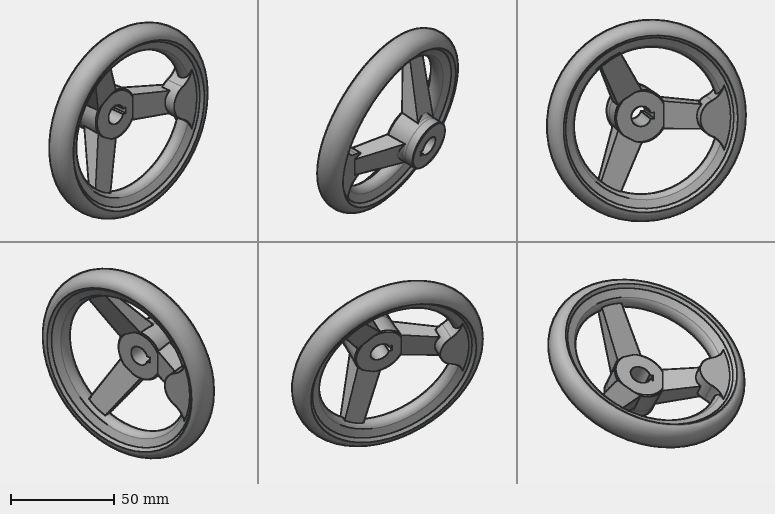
import cadquery as cq
import math

wheel_radius = 50.0
rim_front = 18.4
rim_back = 33.0
rim_middle = (rim_front + rim_back) / 2
rim_crown_height = 5.6
rim_inner_radius = 36.7
rim_side_lip = 0.4
rim_step_radius = 42.5
rim_step_x = 20.0
rim_crest_radius = 38.5
rim_crest_x = 22.0

hub_radius = 25.5 / 2
hub_collar_length = 4.9
hub_back_radius = 13.2
hub_back = 17.0
hub_front_chamfer = 0.3
hub_back_chamfer = 0.6
bore_radius = 5.0
keyway_width = 3.0
keyway_depth = 6.5

spoke_count = 3
spoke_slope = 0.61
spoke_root_radius = 8.0
spoke_end_radius = 39.0
handle_spoke_end_radius = 33.0
spoke_root_half_width = 7.0
spoke_end_half_width = 5.7
spoke_back_root_x = 15.3
spoke_back_end_x = 27.9
root_fillet_run = 1.9

boss_front = rim_step_x
boss_back = 30.7
boss_nose_center = 35.7
boss_nose_radius = 9.8
boss_nose_angle = math.radians(66)
boss_flare_half_width = 18.7


def spoke_front_x(radius):
    """X of the spoke front face, which meets the boss face at the handle spoke end."""
    return boss_front - spoke_slope * (handle_spoke_end_radius - radius)


def make_rim():
    """Revolved rim, mirror-symmetric about its middle plane."""
    def mirrored(x):
        return 2 * rim_middle - x

    edge_radius = wheel_radius - rim_crown_height
    profile = (
        cq.Workplane("XY")
        .moveTo(rim_middle, edge_radius)
        .ellipseArc(rim_back - rim_middle, rim_crown_height, 0, 180, startAtCurrent=False)
        .lineTo(rim_front, edge_radius - rim_side_lip)
        .lineTo(rim_step_x, rim_step_radius)
        .lineTo(rim_crest_x, rim_crest_radius)
        .threePointArc((rim_middle, rim_inner_radius), (mirrored(rim_crest_x), rim_crest_radius))
        .lineTo(mirrored(rim_step_x), rim_step_radius)
        .lineTo(rim_back, edge_radius - rim_side_lip)
        .close()
    )
    return profile.revolve(360, (0, 0, 0), (1, 0, 0))


def make_hub():
    """Straight front collar followed by a hub that widens toward the back."""
    outline = [
        (0, 0),
        (0, hub_radius - hub_front_chamfer),
        (hub_front_chamfer, hub_radius),
        (hub_collar_length, hub_radius),
        (hub_back - hub_back_chamfer, hub_back_radius),
        (hub_back, hub_back_radius - hub_back_chamfer),
        (hub_back, 0),
    ]
    return cq.Workplane("XY").polyline(outline).close().revolve(360, (0, 0, 0), (1, 0, 0))


def spoke_plan():
    """Tapered width along +Y, shared by every spoke whatever its length."""
    return cq.Workplane("YZ").polyline([
        (spoke_root_radius, -spoke_root_half_width),
        (spoke_end_radius, -spoke_end_half_width),
        (spoke_end_radius, spoke_end_half_width),
        (spoke_root_radius, spoke_root_half_width),
    ]).close().extrude(rim_back)


def make_spoke(end_radius):
    """Spoke along +Y, narrowing in width and depth toward the rim."""
    side = cq.Workplane("XY").polyline([
        (spoke_front_x(spoke_root_radius), spoke_root_radius),
        (spoke_front_x(end_radius), end_radius),
        (spoke_back_end_x, end_radius),
        (spoke_back_root_x, spoke_root_radius),
    ]).close().extrude(spoke_root_half_width, both=True)
    return side.intersect(spoke_plan())


def make_root_fillet():
    """Ring filling the angle between the collar and the spoke front faces."""
    root_x = spoke_front_x(hub_radius)
    turn = math.atan2(1, spoke_slope)
    radius = root_fillet_run / math.tan(turn / 2)
    start_x = root_x - root_fillet_run
    arc_middle = (
        start_x + radius * math.sin(turn / 2),
        hub_radius + radius * (1 - math.cos(turn / 2)),
    )
    arc_end = (
        root_x + root_fillet_run * math.cos(turn),
        hub_radius + root_fillet_run * math.sin(turn),
    )
    return (
        cq.Workplane("XY")
        .moveTo(start_x, hub_radius)
        .threePointArc(arc_middle, arc_end)
        .lineTo(arc_end[0], bore_radius)
        .lineTo(start_x, bore_radius)
        .close()
        .revolve(360, (0, 0, 0), (1, 0, 0))
    )


def make_boss():
    """Handle boss with a round nose that flares tangentially into the rim."""
    nose_y = boss_nose_center - boss_nose_radius * math.cos(boss_nose_angle)
    nose_z = boss_nose_radius * math.sin(boss_nose_angle)
    flare_angle = math.asin(boss_flare_half_width / rim_step_radius)
    flare_y = rim_step_radius * math.cos(flare_angle)
    upper_half = (
        cq.Workplane("YZ", origin=(boss_front, 0, 0))
        .moveTo(boss_nose_center - boss_nose_radius, 0)
        .threePointArc(
            (boss_nose_center - boss_nose_radius * math.cos(boss_nose_angle / 2),
             boss_nose_radius * math.sin(boss_nose_angle / 2)),
            (nose_y, nose_z),
        )
        .tangentArcPoint((flare_y, boss_flare_half_width), relative=False)
        .threePointArc(
            (rim_step_radius * math.cos(flare_angle / 2), rim_step_radius * math.sin(flare_angle / 2)),
            (rim_step_radius, 0),
        )
        .close()
        .extrude(boss_back - boss_front)
    )
    return upper_half.union(upper_half.mirror("XY"))


def cut_bore(body):
    """Through bore with a keyway on the +Y side."""
    bore = cq.Workplane("YZ").circle(bore_radius).extrude(hub_back)
    keyway = (
        cq.Workplane("YZ")
        .center(keyway_depth / 2, 0)
        .rect(keyway_depth, keyway_width)
        .extrude(hub_back)
    )
    return body.cut(bore).cut(keyway)


root_fillet = make_root_fillet()
result = make_rim().union(make_hub()).union(make_boss())
for index in range(spoke_count):
    end_radius = handle_spoke_end_radius if index == 0 else spoke_end_radius
    angle = 360 / spoke_count * index
    spoke = make_spoke(end_radius)
    root = root_fillet.intersect(spoke_plan())
    result = result.union(spoke.union(root).rotate((0, 0, 0), (1, 0, 0), angle))
result = cut_bore(result)